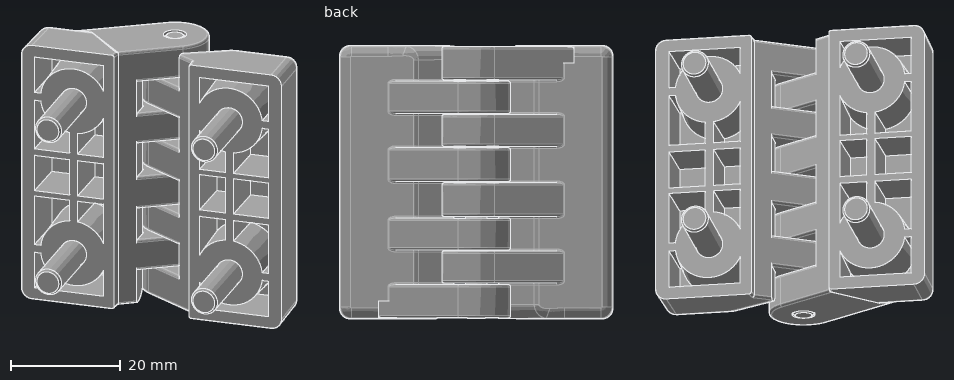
import cadquery as cq
import math


AXIS_Y = 13.7
BARREL_RADIUS = 6.25
ARM_ANGLE = math.radians(32.0)

HEIGHT = 49.75
HALF_HEIGHT = HEIGHT / 2
HALF_WIDTH = 24.9
PLATE_TOP = 11.1
PLATE_FOOT_X = -7.15
PLATE_INNER_X = -6.95
PLATE_DRAFT = 1.0
CORNER_ROUND = 2.0
TOP_ROUND = 1.85

WEB_EDGE_X = -4.1
WEB_EDGE_TOP = 7.3
WEB_CREST_X = -10.95
SLOPE_ROUND = 2.5

KNUCKLE_RANGES = [(18.6, 24.7), (6.5, 12.35), (-6.25, -0.1), (-18.35, -12.5)]
RIM_ROUND = 0.45
ROOT_ROUND = 0.35
SLANT_TOP_X = -14.75
SLANT_TOP_Y = 9.95
RELIEF_FLARE = 70.0

POCKET_OUTER_X = -22.4
POCKET_INNER_X = -9.2
POCKET_HALF_HEIGHT = 22.65
POCKET_DEPTH = 8.95
POCKET_DRAFT = 2.3
RIB_WIDTH = 1.55
CROSS_RIB_RANGES = [(3.35, 4.65), (-4.65, -3.6)]
BOSS_RADIUS = 6.3

STUD_X = 14.95
STUD_Z = 14.95
STUD_DIAMETER = 5.0
STUD_REACH = 14.95
STUD_EMBED = 7.45
STUD_CHAMFER = 0.4

PIN_DIAMETER = 4.0
PIN_HOLE_DIAMETER = 4.2
PIN_BOTTOM = -24.85
PIN_TOP = 24.5
PIN_CHAMFER = 0.45

ARM_SLOPE = math.tan(ARM_ANGLE)
ARM_OFFSET = BARREL_RADIUS / math.cos(ARM_ANGLE)
TANGENT_X = BARREL_RADIUS * math.sin(ARM_ANGLE)
TANGENT_Y = BARREL_RADIUS * math.cos(ARM_ANGLE)


def arm_upper_x(y):
    """X where the upper face of the arm reaches height y."""
    return (y - AXIS_Y - ARM_OFFSET) / ARM_SLOPE


def arm_lower_y(x):
    """Y of the lower face of the arm at position x."""
    return AXIS_Y - ARM_OFFSET + ARM_SLOPE * x


PLATE_STEP_Y = arm_lower_y(PLATE_INNER_X)


def prism(outline, z_low, z_high, taper=0):
    """Closed XY outline extruded between two Z levels."""
    return (
        cq.Workplane("XY", origin=(0, 0, z_low))
        .polyline(outline)
        .close()
        .extrude(z_high - z_low, taper=taper)
    )


def block_on_face(x_low, x_high, z_low, z_high, depth, draft):
    """Drafted block that goes from the mounting face toward +Y."""
    return (
        cq.Workplane("XZ")
        .center((x_low + x_high) / 2, (z_low + z_high) / 2)
        .rect(x_high - x_low, z_high - z_low)
        .extrude(-depth, taper=draft)
    )


def plate():
    """Plate and web, with drafted sides and rounded outer edges."""
    outline = [
        (-HALF_WIDTH, 0),
        (PLATE_FOOT_X, 0),
        (PLATE_INNER_X, PLATE_STEP_Y),
        (WEB_EDGE_X, arm_lower_y(WEB_EDGE_X)),
        (WEB_EDGE_X, WEB_EDGE_TOP),
        (WEB_CREST_X, PLATE_TOP),
        (-HALF_WIDTH, PLATE_TOP),
    ]
    envelope = block_on_face(-HALF_WIDTH, 0, -HALF_HEIGHT, HALF_HEIGHT, PLATE_TOP, PLATE_DRAFT)
    envelope = envelope.faces("<X").edges("<Z or >Z").fillet(CORNER_ROUND)
    body = prism(outline, -HALF_HEIGHT, HALF_HEIGHT).intersect(envelope)

    slope_zone = cq.selectors.BoxSelector(
        (WEB_CREST_X, WEB_EDGE_TOP, -HALF_HEIGHT), (WEB_EDGE_X, PLATE_TOP, 0)
    )
    body = body.edges(slope_zone).edges("<Z").fillet(SLOPE_ROUND)
    body = body.faces(">Y").edges("not >X").fillet(TOP_ROUND)

    above_foot = PLATE_STEP_Y / 4
    underside_zone = cq.selectors.BoxSelector(
        (PLATE_FOOT_X, above_foot, -HALF_HEIGHT), (WEB_EDGE_X, arm_lower_y(WEB_EDGE_X), HALF_HEIGHT)
    )
    return body.edges(underside_zone).edges("not |Z").fillet(RIM_ROUND)


def end_relief():
    """Space around the end knuckle, where the plate stops along a flared slant."""
    z_low, z_high = KNUCKLE_RANGES[0]
    root_x = arm_upper_x(SLANT_TOP_Y)
    outline = [
        (PLATE_INNER_X, PLATE_STEP_Y),
        (SLANT_TOP_X, SLANT_TOP_Y),
        (root_x, SLANT_TOP_Y),
        (root_x, AXIS_Y),
        (0, AXIS_Y),
        (0, PLATE_STEP_Y),
    ]
    straight = prism(outline, (z_low + z_high) / 2, z_high)
    flared = prism(outline, z_high, HALF_HEIGHT, taper=-RELIEF_FLARE)
    return straight.union(flared)


def knuckle(z_low, z_high):
    """One arm with its barrel end, rounded along both rims."""
    arm = (
        cq.Workplane("XY", origin=(0, 0, z_low))
        .moveTo(PLATE_INNER_X, PLATE_STEP_Y)
        .lineTo(TANGENT_X, AXIS_Y - TANGENT_Y)
        .threePointArc((TANGENT_Y, AXIS_Y + TANGENT_X), (-TANGENT_X, AXIS_Y + TANGENT_Y))
        .lineTo(arm_upper_x(SLANT_TOP_Y), SLANT_TOP_Y)
        .lineTo(SLANT_TOP_X, SLANT_TOP_Y)
        .close()
        .extrude(z_high - z_low)
    )

    def on_free_rim(edge):
        center = edge.Center()
        return center.x > PLATE_INNER_X or center.y > AXIS_Y

    return arm.edges("not |Z").filter(on_free_rim).fillet(RIM_ROUND)


def round_knuckle_roots(body):
    """Fillet where the knuckle sides rise from the crest and slope of the web."""
    levels = [level for low, high in KNUCKLE_RANGES for level in (low, high)]
    levels.remove(KNUCKLE_RANGES[0][1])
    tolerance = 0.005

    def on_root(edge):
        center = edge.Center()
        at_side = any(abs(center.z - level) < tolerance for level in levels)
        on_web_top = WEB_EDGE_TOP < center.y < PLATE_TOP + tolerance
        return at_side and on_web_top and center.x < WEB_EDGE_X - tolerance

    return body.edges("not |Z").filter(on_root).fillet(ROOT_ROUND)


def pockets():
    """Drafted hollow in the mounting face, less its ribs and stud bosses."""
    hollow = block_on_face(
        POCKET_OUTER_X, POCKET_INNER_X, -POCKET_HALF_HEIGHT, POCKET_HALF_HEIGHT, POCKET_DEPTH, POCKET_DRAFT
    )
    half_rib = RIB_WIDTH / 2
    ribs = [(-STUD_X - half_rib, -STUD_X + half_rib, -STUD_Z, STUD_Z)]
    ribs += [(-HALF_WIDTH, 0, z_low, z_high) for z_low, z_high in CROSS_RIB_RANGES]
    ribs += [(-HALF_WIDTH, -STUD_X, z - half_rib, z + half_rib) for z in (-STUD_Z, STUD_Z)]
    for rib in ribs:
        hollow = hollow.cut(block_on_face(*rib, POCKET_DEPTH, -POCKET_DRAFT))
    for z in (-STUD_Z, STUD_Z):
        boss = (
            cq.Workplane("XZ")
            .center(-STUD_X, z)
            .circle(BOSS_RADIUS)
            .extrude(-POCKET_DEPTH, taper=-POCKET_DRAFT)
        )
        hollow = hollow.cut(boss)
    return hollow


def leaf():
    """Complete leaf on the -X side, with its pin hole and blind stud holes."""
    body = plate().cut(end_relief())
    for z_low, z_high in KNUCKLE_RANGES:
        body = body.union(knuckle(z_low, z_high))
    body = round_knuckle_roots(body).cut(pockets())

    pin_hole = (
        cq.Workplane("XY", origin=(0, AXIS_Y, -HALF_HEIGHT))
        .circle(PIN_HOLE_DIAMETER / 2)
        .extrude(HEIGHT)
    )
    stud_holes = (
        cq.Workplane("XZ")
        .pushPoints([(-STUD_X, -STUD_Z), (-STUD_X, STUD_Z)])
        .circle(STUD_DIAMETER / 2)
        .extrude(-STUD_EMBED)
    )
    return body.cut(pin_hole).cut(stud_holes)


def pin():
    """Hinge pin, chamfered at both ends."""
    return (
        cq.Workplane("XY", origin=(0, AXIS_Y, PIN_BOTTOM))
        .circle(PIN_DIAMETER / 2)
        .extrude(PIN_TOP - PIN_BOTTOM)
        .faces("<Z or >Z")
        .chamfer(PIN_CHAMFER)
    )


def stud(x, z):
    """Stud seated in a boss and standing out toward -Y."""
    return (
        cq.Workplane("XZ", origin=(x, STUD_EMBED, z))
        .circle(STUD_DIAMETER / 2)
        .extrude(STUD_EMBED + STUD_REACH)
        .faces("<Y")
        .chamfer(STUD_CHAMFER)
    )


left_leaf = leaf()
right_leaf = left_leaf.rotate((0, 0, 0), (0, 1, 0), 180)
hinge_pin = pin()
studs = [stud(x, z) for x in (-STUD_X, STUD_X) for z in (-STUD_Z, STUD_Z)]

result = cq.Compound.makeCompound(
    [
        left_leaf.solids().val(),
        right_leaf.solids().val(),
        hinge_pin.solids().val(),
        *[single.solids().val() for single in studs],
    ]
)